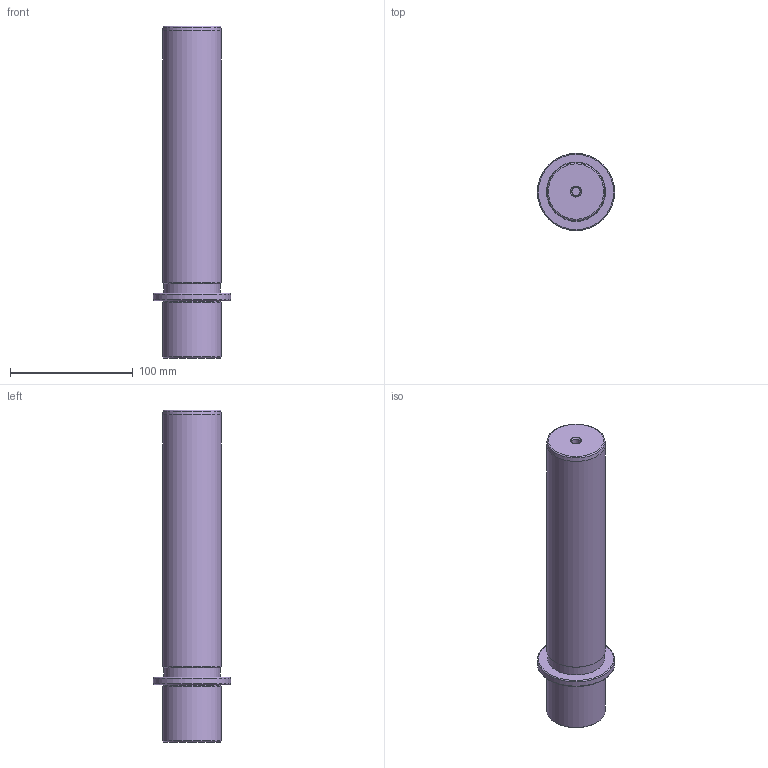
import cadquery as cq

TOTAL_HEIGHT = 271.0
FLANGE_BOTTOM = 46.8
FLANGE_THICKNESS = 6.0
NECK_LENGTH = 8.0
FLANGE_TOP = FLANGE_BOTTOM + FLANGE_THICKNESS
NECK_TOP = FLANGE_TOP + NECK_LENGTH

SHAFT_DIAMETER = 48.0
NECK_DIAMETER = 46.0
FLANGE_DIAMETER = 63.0
SHAFT_RADIUS = SHAFT_DIAMETER / 2
NECK_RADIUS = NECK_DIAMETER / 2
FLANGE_RADIUS = FLANGE_DIAMETER / 2

FOOT_CHAMFER = 1.0
FLANGE_FILLET = 0.8
SHAFT_CHAMFER = 0.6
TOP_FILLET = 1.0
LEAD_IN_HEIGHT = 4.0
LEAD_IN_DEPTH = 0.5

RELIEF_WIDTH = 1.4
RELIEF_DEPTH = 1.0
RELIEF_FILLET = 0.6

HOLE_DIAMETER = 6.8
HOLE_DEPTH = 20.0
HOLE_MOUTH_DIAMETER = 9.0


def make_pillar():
    """Solid of revolution: foot, relief groove, flange, neck and long shaft."""
    relief_radius = SHAFT_RADIUS - RELIEF_DEPTH
    profile = (
        cq.Workplane("XZ")
        .moveTo(0, 0)
        .lineTo(SHAFT_RADIUS - FOOT_CHAMFER, 0)
        .lineTo(SHAFT_RADIUS, FOOT_CHAMFER)
        .lineTo(SHAFT_RADIUS, FLANGE_BOTTOM - RELIEF_WIDTH)
        .lineTo(relief_radius, FLANGE_BOTTOM - RELIEF_WIDTH)
        .lineTo(relief_radius, FLANGE_BOTTOM - RELIEF_FILLET)
        .radiusArc((relief_radius + RELIEF_FILLET, FLANGE_BOTTOM), RELIEF_FILLET)
        .lineTo(FLANGE_RADIUS, FLANGE_BOTTOM)
        .lineTo(FLANGE_RADIUS, FLANGE_TOP)
        .lineTo(NECK_RADIUS, FLANGE_TOP)
        .lineTo(NECK_RADIUS, NECK_TOP)
        .lineTo(SHAFT_RADIUS - SHAFT_CHAMFER, NECK_TOP)
        .lineTo(SHAFT_RADIUS, NECK_TOP + SHAFT_CHAMFER)
        .lineTo(SHAFT_RADIUS, TOTAL_HEIGHT - LEAD_IN_HEIGHT)
        .lineTo(SHAFT_RADIUS - LEAD_IN_DEPTH, TOTAL_HEIGHT)
        .lineTo(0, TOTAL_HEIGHT)
        .close()
    )
    pillar = profile.revolve(360, (0, 0, 0), (0, 1, 0))
    pillar = pillar.faces(">Z").edges().fillet(TOP_FILLET)
    flange_rims = cq.selectors.RadiusNthSelector(-1)
    return pillar.edges("%CIRCLE").edges(flange_rims).fillet(FLANGE_FILLET)


def make_hole():
    """Blind hole down from the top face with a 45-degree countersunk mouth."""
    hole_radius = HOLE_DIAMETER / 2
    mouth_radius = HOLE_MOUTH_DIAMETER / 2
    mouth_depth = mouth_radius - hole_radius
    profile = (
        cq.Workplane("XZ")
        .moveTo(0, TOTAL_HEIGHT)
        .lineTo(mouth_radius, TOTAL_HEIGHT)
        .lineTo(hole_radius, TOTAL_HEIGHT - mouth_depth)
        .lineTo(hole_radius, TOTAL_HEIGHT - HOLE_DEPTH)
        .lineTo(0, TOTAL_HEIGHT - HOLE_DEPTH)
        .close()
    )
    return profile.revolve(360, (0, 0, 0), (0, 1, 0))


result = make_pillar().cut(make_hole())